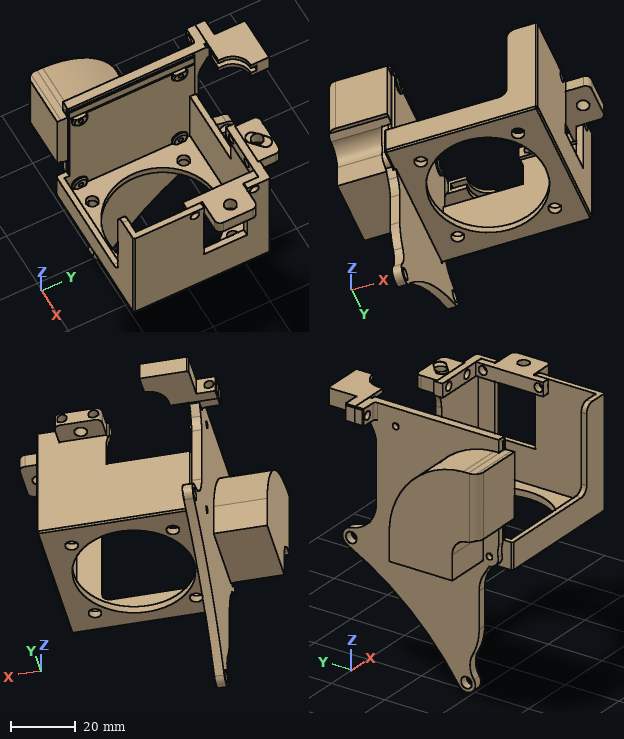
import cadquery as cq
import math


WALL = 2.2
FRONT_WALL = 2.0
FLOOR = 2.5
BOX_RIGHT = 25.3
BOX_FRONT = -23.9
BOX_BACK = 24.25
BOX_TOP = 40.9
BOX_EDGE = 0.5
FAN_HOLE_DIA = 38.0
FAN_SCREW_DIA = 4.0
FAN_SCREW_PITCH = 32.0
BACK_SILL = 24.2
BACK_POST_LEFT = 3.2
FRONT_SILL = 10.1
FRONT_POST_LEFT = 15.2
FRONT_ROUND = 3.0
RIM_HEIGHT = 4.9
RIM_LEFT = 2.2
RIM_THICK = 3.3
RIM_BLEND_DROP = 4.1
SIDE_WALL_RIGHT = -23.2
LEDGE_WIDTH = 0.4
LEDGE_TOP = 40.7
TONGUE_TOP = 44.1
INNER_SETBACK = 0.2

PLATE_LEFT = -27.3
PLATE_RIGHT = -24.2
POCKET_DEPTH = 1.0
PLATE_TOP = 45.4
PLATE_FRONT = -20.2
PLATE_REAR = 25.6
SPLIT_Y = 29.3
LEG_FRONT = -12.85
LOBE_RADIUS = 3.35
REAR_LOBE = (34.9, -3.9)
OVERALL_HEIGHT = 90.5
TIP_LOBE = (-8.05, PLATE_TOP - OVERALL_HEIGHT + LOBE_RADIUS)
LOBE_HOLE_DIA = 4.0
WAIST_RADIUS = 11.3
FRONT_WAIST_BOTTOM = -8.6
FRONT_WAIST_TOP = -2.3
LONG_EDGE_RADIUS = 108.1
LEG_BEND_RADIUS = 19.9
LEG_BEND_TOP = -21.9
TIP_NECK_RADIUS = 8.0
NECK_TOP = 9.2
NECK_BOTTOM = 5.1
NECK_DEPTH = 0.4
SHOULDER_BOTTOM = 30.9
SHOULDER_RADIUS = 9.95
SHOULDER_ANGLE = math.radians(28)

SCREW_DIA = 2.2
SCREW_FRONT = -16.65
SCREW_LOW = 4.2
SCREW_PITCH = 35.0
BOSS_DIA = 5.4
BOSS_HOLE_DIA = 1.5
BOSS_HEIGHT = 1.0
BOSS_CHAMFER = 0.5

CLAMP_BOTTOM = 39.35
CLAMP_RIGHT = -11.8
CLAMP_BACK = 43.7
EAR_LEFT = -33.7
PLATE_EAR_FRONT = 26.15
CLAMP_EAR_BACK = 32.9
EAR_FILLET = 1.0
EAR_CHAMFER = 0.4
EAR_HOLE_X = -31.3
EAR_HOLE_DIA = 3.0
NECK_SEAT_RADIUS = 6.3
NECK_SEAT_Y = 30.9
GROOVE_X = -13.4
GROOVE_RADIUS = 10.0
GROOVE_BOTTOM = 41.25
GROOVE_TOP = 43.8
CLAMP_CORNER = 0.5
NICK_LENGTH = 1.45
NICK_SIZE = 1.0

DUCT_LEFT = -44.2
DUCT_BOTTOM = 2.3
DUCT_TOP = 41.0
DUCT_REAR = 9.1
DUCT_BEND_RUN = 27.4
DUCT_OUTER_RADIUS = 28.9
DUCT_INNER_Y = -14.4
DUCT_INNER_TOP = 17.1
MOUTH_BOTTOM = 18.0
MOUTH_DEPTH = 1.3
MOUTH_RISE = 0.1
MOUTH_ROUND = 3.1

TAB_ROUND = 2.0
TAB_HOLE_DIA = 4.0
TAB_SCREW_DIA = 3.1
TAB_SCREW_Z = 38.6
BACK_TAB_X = (3.1, 18.1)
BACK_TAB_Y = (23.6, 31.85)
BACK_TAB_SCREWS = (5.5, 15.5)
BACK_TAB_HOLE = (10.5, 27.4)
SLOT_START = (9.3, 26.15)
SLOT_END = (12.7, 29.2)
SLOT_DEPTH = 0.2
RIGHT_TAB_Y = (1.4, 15.65)
RIGHT_TAB_END = 32.9
STRIP_LEFT = 20.4
STRIP_FRONT = -4.1
RIGHT_TAB_HOLE_X = 28.1
RIGHT_TAB_SCREWS = (-2.35, 18.5)
WINDOW_Y = (0.8, 15.9)
WINDOW_BOTTOM = 15.4

TONGUE_LEFT = PLATE_RIGHT - POCKET_DEPTH
BOX_INNER_RIGHT = BOX_RIGHT - WALL
BOX_INNER_FRONT = BOX_FRONT + FRONT_WALL
RIM_BOTTOM = BOX_TOP - RIM_HEIGHT
RIM_FRONT = BOX_BACK - RIM_THICK
SCREW_PLACES = [
    (y, z)
    for y in (SCREW_FRONT, SCREW_FRONT + SCREW_PITCH)
    for z in (SCREW_LOW, SCREW_LOW + SCREW_PITCH)
]


def block(x_range, y_range, z_range):
    """Box spanning the three given ranges."""
    size = [high - low for low, high in (x_range, y_range, z_range)]
    corner = (x_range[0], y_range[0], z_range[0])
    return cq.Workplane("XY").box(*size, centered=False).translate(corner)


def rod_x(x_start, x_end, places, diameter):
    """Round bars along X at the given (y, z) places."""
    return (
        cq.Workplane("YZ", origin=(x_start, 0, 0))
        .pushPoints(places)
        .circle(diameter / 2)
        .extrude(x_end - x_start)
    )


def rod_y(y_start, y_end, places, diameter):
    """Round bars along Y at the given (x, z) places."""
    return (
        cq.Workplane("XZ", origin=(0, y_start, 0))
        .pushPoints(places)
        .circle(diameter / 2)
        .extrude(y_start - y_end)
    )


def rod_z(z_start, z_end, places, diameter):
    """Round bars along Z at the given (x, y) places."""
    return (
        cq.Workplane("XY", origin=(0, 0, z_start))
        .pushPoints(places)
        .circle(diameter / 2)
        .extrude(z_end - z_start)
    )


def toward(start, target, distance):
    """Point at a distance from start, in the direction of target."""
    share = distance / math.dist(start, target)
    return tuple(s + (t - s) * share for s, t in zip(start, target))


def left_meeting_point(a, a_reach, b, b_reach):
    """Point at given distances from a and b, on the left when going from a to b."""
    span = math.dist(a, b)
    along = (a_reach**2 - b_reach**2 + span**2) / (2 * span)
    aside = math.sqrt(a_reach**2 - along**2)
    uy = (b[0] - a[0]) / span
    uz = (b[1] - a[1]) / span
    return (a[0] + along * uy - aside * uz, a[1] + along * uz + aside * uy)


def bulge(center, radius, start, end):
    """Middle and end points of the short arc from start to end about a centre."""
    middle = tuple((s + e) / 2 for s, e in zip(start, end))
    return toward(center, middle, radius), end


def front_opening_cutter():
    """Cutter for the open front: rounded at the sill and at the head of the post."""
    left = TONGUE_LEFT
    r = FRONT_ROUND
    post = FRONT_POST_LEFT
    return (
        cq.Workplane("XZ", origin=(0, BOX_INNER_FRONT, 0))
        .moveTo(left, BOX_TOP)
        .lineTo(left, FRONT_SILL)
        .lineTo(post - r, FRONT_SILL)
        .radiusArc((post, FRONT_SILL + r), -r)
        .lineTo(post, BOX_TOP - r)
        .radiusArc((post + r, BOX_TOP), r)
        .close()
        .extrude(FRONT_WALL)
    )


def back_opening_cutter():
    """Cutter that lowers the back wall beside the post, which blends out into the rim."""
    return (
        cq.Workplane("XZ", origin=(0, BOX_BACK, 0))
        .moveTo(SIDE_WALL_RIGHT, BACK_SILL)
        .lineTo(BACK_POST_LEFT, BACK_SILL)
        .lineTo(BACK_POST_LEFT, RIM_BOTTOM - RIM_BLEND_DROP)
        .tangentArcPoint((RIM_LEFT, RIM_BOTTOM), relative=False)
        .lineTo(RIM_LEFT, BOX_TOP)
        .lineTo(SIDE_WALL_RIGHT, BOX_TOP)
        .close()
        .extrude(RIM_THICK)
    )


def screw_bosses():
    """Bevelled bosses inside the left wall, the upper ones cut flat at the ledge."""
    bosses = rod_x(SIDE_WALL_RIGHT, SIDE_WALL_RIGHT + BOSS_HEIGHT, SCREW_PLACES, BOSS_DIA)
    bosses = bosses.faces(">X").chamfer(BOSS_CHAMFER)
    above = block(
        (SIDE_WALL_RIGHT, SIDE_WALL_RIGHT + BOSS_HEIGHT), (BOX_FRONT, BOX_BACK), (LEDGE_TOP, TONGUE_TOP)
    )
    return bosses.cut(above)


def left_wall():
    """Wall above the sill: a tongue in the plate's pocket, a tall inner part and a lower ledge."""
    rear = BOX_BACK - BOX_EDGE
    ledge_left = SIDE_WALL_RIGHT - LEDGE_WIDTH
    inner_front = PLATE_FRONT + INNER_SETBACK
    tongue = block((TONGUE_LEFT, PLATE_RIGHT), (PLATE_FRONT, rear), (FRONT_SILL, TONGUE_TOP))
    tall = block((PLATE_RIGHT, ledge_left), (inner_front, rear), (FRONT_SILL, TONGUE_TOP))
    ledge = block((ledge_left, SIDE_WALL_RIGHT), (inner_front, rear), (FRONT_SILL, LEDGE_TOP))
    return tall.union(ledge).union(tongue)


def make_fan_box():
    """Open tray with a fan opening in its floor, and screw rims and notches for the tabs."""
    inner_back = BOX_BACK - WALL
    shell = block((TONGUE_LEFT, BOX_RIGHT), (BOX_FRONT, BOX_BACK), (0, BOX_TOP))
    shell = shell.edges("|Z or <Z").chamfer(BOX_EDGE)
    shell = shell.cut(
        block((SIDE_WALL_RIGHT, BOX_INNER_RIGHT), (BOX_INNER_FRONT, inner_back), (FLOOR, BOX_TOP))
    )
    rim = block((RIM_LEFT, BOX_INNER_RIGHT), (RIM_FRONT, inner_back), (RIM_BOTTOM, BOX_TOP))
    above_sill = block((TONGUE_LEFT, SIDE_WALL_RIGHT), (BOX_FRONT, BOX_BACK), (FRONT_SILL, BOX_TOP))
    shell = shell.union(rim).cut(above_sill).union(left_wall()).union(screw_bosses())

    shell = shell.cut(front_opening_cutter()).cut(back_opening_cutter())
    shell = shell.cut(block((BOX_INNER_RIGHT, BOX_RIGHT), WINDOW_Y, (WINDOW_BOTTOM, BOX_TOP)))
    shell = shell.cut(block(BACK_TAB_X, (BACK_TAB_Y[0], BOX_BACK), (RIM_BOTTOM, BOX_TOP)))

    half = FAN_SCREW_PITCH / 2
    fan_screws = [(x, y) for x in (-half, half) for y in (-half, half)]
    shell = shell.cut(rod_z(0, FLOOR, [(0, 0)], FAN_HOLE_DIA))
    shell = shell.cut(rod_z(0, FLOOR, fan_screws, FAN_SCREW_DIA))
    shell = shell.cut(rod_x(TONGUE_LEFT, SIDE_WALL_RIGHT + BOSS_HEIGHT, SCREW_PLACES, BOSS_HOLE_DIA))
    return shell.cut(back_tab_screw_holes()).cut(right_tab_screw_holes())


def plate_outline():
    """Closed outline of the side plate in the YZ plane; its lobes blend into the edges."""
    screw_lobe = (SCREW_FRONT, SCREW_LOW)
    neck_end = toward(screw_lobe, (PLATE_FRONT, NECK_BOTTOM), LOBE_RADIUS)
    neck_middle = (PLATE_FRONT + NECK_DEPTH, (NECK_TOP + NECK_BOTTOM) / 2)
    screw_bottom = (SCREW_FRONT, SCREW_LOW - LOBE_RADIUS)

    front_waist = (LEG_FRONT - WAIST_RADIUS, FRONT_WAIST_BOTTOM)
    waist_rise = FRONT_WAIST_TOP - FRONT_WAIST_BOTTOM
    waist_start = (front_waist[0] + math.sqrt(WAIST_RADIUS**2 - waist_rise**2), FRONT_WAIST_TOP)
    waist_end = (LEG_FRONT, FRONT_WAIST_BOTTOM)

    leg_bend = (LEG_FRONT + LEG_BEND_RADIUS, LEG_BEND_TOP)
    bend_start = (LEG_FRONT, LEG_BEND_TOP)
    tip_neck = left_meeting_point(
        TIP_LOBE, LOBE_RADIUS + TIP_NECK_RADIUS, leg_bend, LEG_BEND_RADIUS + TIP_NECK_RADIUS
    )
    bend_end = toward(leg_bend, tip_neck, LEG_BEND_RADIUS)
    tip_start = toward(TIP_LOBE, tip_neck, LOBE_RADIUS)
    tip_bottom = (TIP_LOBE[0], TIP_LOBE[1] - LOBE_RADIUS)

    long_reach = LONG_EDGE_RADIUS + LOBE_RADIUS
    long_edge = left_meeting_point(REAR_LOBE, long_reach, TIP_LOBE, long_reach)
    tip_end = toward(TIP_LOBE, long_edge, LOBE_RADIUS)
    rear_start = toward(REAR_LOBE, long_edge, LOBE_RADIUS)
    rear_middle = (REAR_LOBE[0] + LOBE_RADIUS, REAR_LOBE[1])

    rear_waist_y = PLATE_REAR + WAIST_RADIUS
    waist_reach = WAIST_RADIUS + LOBE_RADIUS
    rear_waist_rise = math.sqrt(waist_reach**2 - (rear_waist_y - REAR_LOBE[0]) ** 2)
    rear_waist = (rear_waist_y, REAR_LOBE[1] + rear_waist_rise)
    rear_end = toward(REAR_LOBE, rear_waist, LOBE_RADIUS)
    rear_waist_end = (PLATE_REAR, rear_waist[1])

    shoulder_y = PLATE_REAR + SHOULDER_RADIUS * (1 - math.cos(SHOULDER_ANGLE))
    shoulder_z = SHOULDER_BOTTOM + SHOULDER_RADIUS * math.sin(SHOULDER_ANGLE)
    split_z = shoulder_z + (SPLIT_Y - shoulder_y) / math.tan(SHOULDER_ANGLE)

    return (
        cq.Workplane("YZ", origin=(PLATE_LEFT, 0, 0))
        .moveTo(SPLIT_Y, PLATE_TOP)
        .lineTo(PLATE_FRONT, PLATE_TOP)
        .lineTo(PLATE_FRONT, NECK_TOP)
        .threePointArc(neck_middle, neck_end)
        .threePointArc(*bulge(screw_lobe, LOBE_RADIUS, neck_end, screw_bottom))
        .lineTo(*waist_start)
        .threePointArc(*bulge(front_waist, WAIST_RADIUS, waist_start, waist_end))
        .lineTo(*bend_start)
        .threePointArc(*bulge(leg_bend, LEG_BEND_RADIUS, bend_start, bend_end))
        .threePointArc(*bulge(tip_neck, TIP_NECK_RADIUS, bend_end, tip_start))
        .threePointArc(tip_bottom, tip_end)
        .threePointArc(*bulge(long_edge, LONG_EDGE_RADIUS, tip_end, rear_start))
        .threePointArc(rear_middle, rear_end)
        .threePointArc(*bulge(rear_waist, WAIST_RADIUS, rear_end, rear_waist_end))
        .lineTo(PLATE_REAR, SHOULDER_BOTTOM)
        .tangentArcPoint((shoulder_y, shoulder_z), relative=False)
        .lineTo(SPLIT_Y, split_z)
        .close()
    )


def make_side_plate():
    """Flat plate with a clamp ear and a shallow pocket for the box wall."""
    plate = plate_outline().extrude(PLATE_RIGHT - PLATE_LEFT)
    height = (CLAMP_BOTTOM, PLATE_TOP)
    ear = block((EAR_LEFT, PLATE_RIGHT), (PLATE_EAR_FRONT, SPLIT_Y), height)
    ear = ear.faces("<X").edges("|Y or <Y").chamfer(EAR_CHAMFER)
    plate = plate.union(ear)
    ear_corner = (PLATE_LEFT, PLATE_EAR_FRONT, sum(height) / 2)
    corner = cq.selectors.NearestToPointSelector(ear_corner)
    plate = plate.edges("|Z").edges(corner).fillet(EAR_FILLET)
    pocket = block((TONGUE_LEFT, PLATE_RIGHT), (BOX_FRONT, BOX_BACK), (0, TONGUE_TOP))
    plate = plate.cut(pocket)
    plate = plate.cut(rod_x(PLATE_LEFT, PLATE_RIGHT, SCREW_PLACES, SCREW_DIA))
    plate = plate.cut(rod_x(PLATE_LEFT, PLATE_RIGHT, [REAR_LOBE, TIP_LOBE], LOBE_HOLE_DIA))
    return plate.cut(ear_hole()).cut(corner_nick())


def corner_nick():
    """Bevel on the plate's top corner, next to the clamp."""
    return (
        cq.Workplane("YZ", origin=(PLATE_RIGHT - NICK_LENGTH, 0, 0))
        .moveTo(SPLIT_Y - NICK_SIZE, PLATE_TOP)
        .lineTo(SPLIT_Y, PLATE_TOP)
        .lineTo(SPLIT_Y, PLATE_TOP - NICK_SIZE)
        .close()
        .extrude(NICK_LENGTH)
    )


def ear_hole():
    place = (EAR_HOLE_X, (CLAMP_BOTTOM + PLATE_TOP) / 2)
    return rod_y(PLATE_EAR_FRONT, CLAMP_EAR_BACK, [place], EAR_HOLE_DIA)


def make_clamp():
    """Half of a grooved neck clamp, bolted to the plate's ear."""
    height = (CLAMP_BOTTOM, PLATE_TOP)
    clamp = block((PLATE_LEFT, CLAMP_RIGHT), (SPLIT_Y, CLAMP_BACK), height)
    clamp = clamp.edges("|Z and <X and >Y").chamfer(CLAMP_CORNER)
    ear = block((EAR_LEFT, CLAMP_RIGHT), (SPLIT_Y, CLAMP_EAR_BACK), height)
    clamp = clamp.union(ear.faces("<X").edges("|Y or >Y").chamfer(EAR_CHAMFER))

    seat = rod_z(*height, [(CLAMP_RIGHT, NECK_SEAT_Y)], 2 * NECK_SEAT_RADIUS)
    seat = seat.union(
        block((CLAMP_RIGHT - NECK_SEAT_RADIUS, CLAMP_RIGHT), (SPLIT_Y, NECK_SEAT_Y), height)
    )
    groove_height = (GROOVE_BOTTOM, GROOVE_TOP)
    groove = rod_z(*groove_height, [(GROOVE_X, SPLIT_Y)], 2 * GROOVE_RADIUS)
    groove = groove.union(
        block((GROOVE_X, CLAMP_RIGHT), (SPLIT_Y, SPLIT_Y + GROOVE_RADIUS), groove_height)
    )
    return clamp.cut(seat).cut(groove).cut(ear_hole())


def make_duct():
    """Quarter-turn duct with a mouth that covers the plate's front edge."""
    outer_y = DUCT_REAR - DUCT_BEND_RUN
    outer_z = DUCT_TOP - DUCT_BEND_RUN
    inner_radius = DUCT_INNER_Y - PLATE_FRONT
    bend = (
        cq.Workplane("YZ", origin=(DUCT_LEFT, 0, 0))
        .moveTo(DUCT_INNER_Y, DUCT_BOTTOM)
        .lineTo(DUCT_REAR, DUCT_BOTTOM)
        .lineTo(DUCT_REAR, outer_z)
        .radiusArc((outer_y, DUCT_TOP), -DUCT_OUTER_RADIUS)
        .lineTo(PLATE_FRONT, DUCT_TOP)
        .lineTo(PLATE_FRONT, DUCT_INNER_TOP)
        .radiusArc((DUCT_INNER_Y, DUCT_INNER_TOP - inner_radius), inner_radius)
        .close()
        .extrude(PLATE_LEFT - DUCT_LEFT)
    )
    mouth_start = BOX_FRONT + MOUTH_DEPTH
    mouth = (
        cq.Workplane("YZ", origin=(DUCT_LEFT, 0, 0))
        .polyline([
            (PLATE_FRONT, DUCT_INNER_TOP),
            (PLATE_FRONT, DUCT_TOP),
            (mouth_start, DUCT_TOP + MOUTH_RISE),
            (BOX_FRONT, DUCT_TOP + MOUTH_RISE),
            (BOX_FRONT, MOUTH_BOTTOM),
            (mouth_start, MOUTH_BOTTOM),
        ])
        .close()
        .extrude(PLATE_RIGHT - DUCT_LEFT)
    )
    mouth = mouth.edges("|Z and <X and <Y").fillet(MOUTH_ROUND)
    return bend.union(mouth)


def back_tab_screw_holes():
    places = [(x, TAB_SCREW_Z) for x in BACK_TAB_SCREWS]
    return rod_y(RIM_FRONT, BACK_TAB_Y[1], places, TAB_SCREW_DIA)


def right_tab_screw_holes():
    places = [(y, TAB_SCREW_Z) for y in RIGHT_TAB_SCREWS]
    return rod_x(STRIP_LEFT, BOX_RIGHT, places, TAB_SCREW_DIA)


def make_back_tab():
    """Tab behind the rim, with a shallow slanted slot around its hole."""
    height = (RIM_BOTTOM, BOX_TOP)
    tab = block(BACK_TAB_X, BACK_TAB_Y, height).edges("|Z and >Y").fillet(TAB_ROUND)
    run_x = SLOT_END[0] - SLOT_START[0]
    run_y = SLOT_END[1] - SLOT_START[1]
    slot_length = math.hypot(run_x, run_y) + TAB_HOLE_DIA
    slot_angle = math.degrees(math.atan2(run_y, run_x))
    middle = ((SLOT_START[0] + SLOT_END[0]) / 2, (SLOT_START[1] + SLOT_END[1]) / 2)
    slot = (
        cq.Workplane("XY", origin=(*middle, BOX_TOP))
        .slot2D(slot_length, TAB_HOLE_DIA, slot_angle)
        .extrude(-SLOT_DEPTH)
    )
    tab = tab.cut(slot).cut(rod_z(*height, [BACK_TAB_HOLE], TAB_HOLE_DIA))
    return tab.cut(back_tab_screw_holes())


def make_right_tab():
    """Tab through the window's head, held by a strip inside the right wall."""
    height = (RIM_BOTTOM, BOX_TOP)
    tab = block((STRIP_LEFT, RIGHT_TAB_END), RIGHT_TAB_Y, height).edges("|Z and >X").fillet(TAB_ROUND)
    tab = tab.union(block((STRIP_LEFT, BOX_INNER_RIGHT), (STRIP_FRONT, RIM_FRONT), height))
    hole = (RIGHT_TAB_HOLE_X, sum(RIGHT_TAB_Y) / 2)
    tab = tab.cut(rod_z(*height, [hole], TAB_HOLE_DIA))
    return tab.cut(right_tab_screw_holes())


fan_box = make_fan_box()
side_plate = make_side_plate()
clamp = make_clamp()
duct = make_duct()
back_tab = make_back_tab()
right_tab = make_right_tab()

result = cq.Compound.makeCompound(
    [
        fan_box.solids().val(),
        side_plate.solids().val(),
        clamp.solids().val(),
        duct.solids().val(),
        back_tab.solids().val(),
        right_tab.solids().val(),
    ]
)